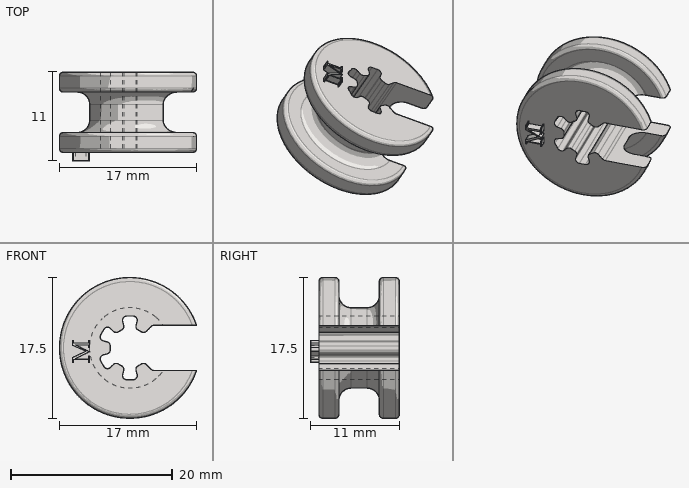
import cadquery as cq
import math


outer_radius = 8.75
body_length = 10.0
flange_thickness = 2.5
core_radius = 5.0
groove_fillet = 1.5
rim_round = 0.5

tooth_pitch = 60
flank_angle = tooth_pitch / 4
tooth_flat_distance = 2.43
slot_flat_distance = 3.94
bore_fillet = 0.5
mouth_half_width = 2.8

letter_height = 2.08
letter_width = 2.73
letter_relief = 1.02
letter_baseline_x = -5.02
letter_left_z = -1.78
serif_thickness = 0.12
left_stem = (0.33, 0.44)
right_stem = (2.17, 2.4)
lower_left_serif_end = 0.77
lower_right_serif_start = 1.84
crotch = (1.38, 0.42)
apex = (1.31, 0.0)
left_shoulder = 0.6
right_shoulder = 2.1
diagonal_foot_height = 1.75

half_length = body_length / 2


def polar(radius, angle):
    """Point in the XZ plane at an angle in degrees from +X toward +Z."""
    turn = math.radians(angle)
    return (radius * math.cos(turn), radius * math.sin(turn))


def along_y(outline, start, end):
    """Extrude a closed (x, z) outline between two Y positions."""
    plane = cq.Plane(origin=(0, start, 0), xDir=(1, 0, 0), normal=(0, -1, 0))
    return cq.Workplane(plane).polyline(outline).close().extrude(start - end)


def make_spool():
    half_groove = half_length - flange_thickness
    fillet_end = half_groove - groove_fillet
    fillet_radius = core_radius + groove_fillet
    diagonal = groove_fillet * math.sqrt(0.5)
    arc_radius = fillet_radius - diagonal
    arc_y = fillet_end + diagonal
    rim_start = outer_radius - rim_round
    rim_inset = rim_round * (1 - math.sqrt(0.5))
    rim_mid = outer_radius - rim_inset
    half_profile = (
        cq.Workplane("XY")
        .lineTo(core_radius, 0)
        .lineTo(core_radius, fillet_end)
        .threePointArc((arc_radius, arc_y), (fillet_radius, half_groove))
        .lineTo(rim_start, half_groove)
        .threePointArc((rim_mid, half_groove + rim_inset), (outer_radius, half_groove + rim_round))
        .lineTo(outer_radius, half_length - rim_round)
        .threePointArc((rim_mid, half_length - rim_inset), (rim_start, half_length))
        .lineTo(0, half_length)
        .close()
    )
    half_spool = half_profile.revolve(360, (0, 0, 0), (0, 1, 0))
    return half_spool.union(half_spool.mirror("XZ"))


def make_bore():
    """Void of the bore and mouth, with its long corners rounded."""
    tip_radius = tooth_flat_distance / math.cos(math.radians(flank_angle))
    slot_radius = slot_flat_distance / math.cos(math.radians(flank_angle))
    first_tooth = tooth_pitch
    last_tooth = 360 - tooth_pitch
    mouth_end = outer_radius + rim_round

    outline = [(mouth_end, mouth_half_width), (mouth_half_width, mouth_half_width)]
    for tooth in range(first_tooth, last_tooth + 1, tooth_pitch):
        if tooth > first_tooth:
            outline.append(polar(slot_radius, tooth - 3 * flank_angle))
            outline.append(polar(slot_radius, tooth - flank_angle))
        outline.append(polar(tip_radius, tooth - flank_angle))
        outline.append(polar(tip_radius, tooth + flank_angle))
    outline += [(mouth_half_width, -mouth_half_width), (mouth_end, -mouth_half_width)]

    bore = along_y(outline, half_length, -half_length)
    for x, z in outline[1:-1]:
        bore = bore.edges(cq.selectors.NearestToPointSelector((x, 0, z))).fillet(bore_fillet)
    return bore


def letter_piece(points):
    """Raise an outline given as (across, up) letter coordinates."""
    outline = [(letter_baseline_x - up, letter_left_z + across) for across, up in points]
    return along_y(outline, -half_length, -half_length - letter_relief)


def letter_bar(across_start, across_end, bottom, top):
    return letter_piece(
        [(across_start, bottom), (across_end, bottom), (across_end, top), (across_start, top)]
    )


def make_letter():
    top_serif = letter_height - serif_thickness
    diagonals = letter_piece([
        (left_stem[0], letter_height),
        (left_shoulder, letter_height),
        crotch,
        (right_shoulder, letter_height),
        (right_stem[1], letter_height),
        (right_stem[0], diagonal_foot_height),
        apex,
        (left_stem[1], diagonal_foot_height),
    ])
    bars = [
        letter_bar(*left_stem, 0, letter_height),
        letter_bar(*right_stem, 0, letter_height),
        letter_bar(0, lower_left_serif_end, 0, serif_thickness),
        letter_bar(lower_right_serif_start, letter_width, 0, serif_thickness),
        letter_bar(0, left_shoulder, top_serif, letter_height),
        letter_bar(right_shoulder, letter_width, top_serif, letter_height),
    ]
    letter = diagonals
    for bar in bars:
        letter = letter.union(bar)
    return letter


result = make_spool().cut(make_bore()).union(make_letter())